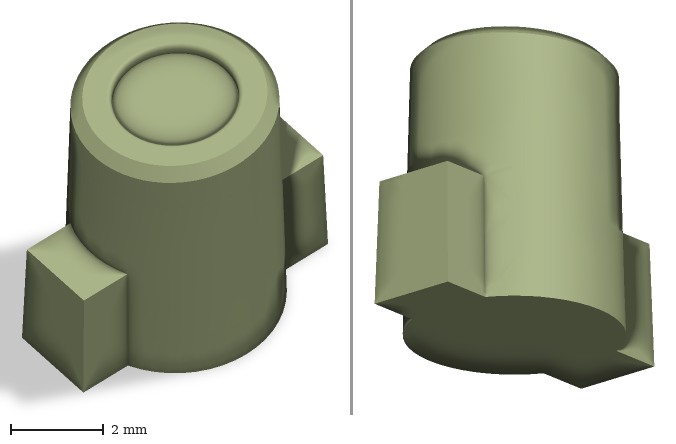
import cadquery as cq
import math

DRAFT_ANGLE = 1.5
BASE_DIAMETER = 4.82
CENTER_HEIGHT = 6.25
TOP_SLOPE = 4.0
TOP_CHAMFER = 0.25

EAR_SPAN = 6.83
EAR_WIDTH = 2.08
EAR_HEIGHT = 2.82

RECESS_DIAMETER = 2.75
RECESS_DEPTH = 0.25
RECESS_LIP_RADIUS = 0.1

STOCK_HEIGHT = CENTER_HEIGHT + BASE_DIAMETER / 2

slope = math.radians(TOP_SLOPE)
top_plane = cq.Plane(
    origin=(0, 0, CENTER_HEIGHT),
    xDir=(1, 0, 0),
    normal=(0, -math.sin(slope), math.cos(slope)),
)


def make_body():
    """Drafted round post, trimmed by the sloping top and chamfered there."""
    post = cq.Workplane("XY").circle(BASE_DIAMETER / 2).extrude(STOCK_HEIGHT, taper=DRAFT_ANGLE)
    above_top = cq.Workplane(top_plane).circle(BASE_DIAMETER).extrude(STOCK_HEIGHT)
    return post.cut(above_top).faces(">Z").edges().chamfer(TOP_CHAMFER)


def make_ears():
    """Drafted bar across the base; the post swallows its middle."""
    return cq.Workplane("XY").rect(EAR_WIDTH, EAR_SPAN).extrude(EAR_HEIGHT, taper=DRAFT_ANGLE)


def make_recess_cutter():
    """Round recess with a rounded lip, square to the sloping top."""
    radius = RECESS_DIAMETER / 2
    lip_radius = RECESS_LIP_RADIUS
    lip_offset = lip_radius * (1 - math.sqrt(0.5))
    profile = (
        cq.Workplane("XZ")
        .moveTo(0, -RECESS_DEPTH)
        .lineTo(radius, -RECESS_DEPTH)
        .lineTo(radius, -lip_radius)
        .threePointArc((radius + lip_offset, -lip_offset), (radius + lip_radius, 0))
        .lineTo(0, 0)
        .close()
    )
    cutter = profile.revolve(360, (0, 0), (0, 1))
    return cutter.val().moved(cq.Location(top_plane))


result = make_body().union(make_ears()).cut(cq.Workplane(make_recess_cutter()))